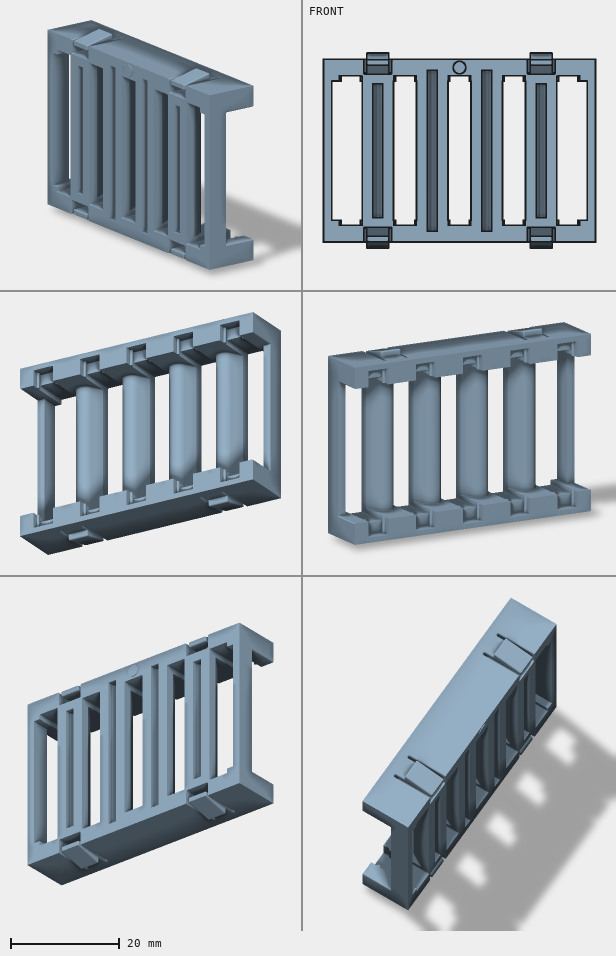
import cadquery as cq
import math

LENGTH = 50.0
DEPTH = 10.0
HEIGHT = 33.6
FLANGE_THICKNESS = 4.05
POST_WIDTH = 1.55
POST_DEPTH = 3.75
EDGE_RADIUS = 0.2

PITCH = 10.0
CHANNEL_WIDTH = 4.2
CHANNEL_RECESS = 0.95
CHANNEL_RADIUS = 0.2
RIB_DEPTH = 4.95
RIB_STRAIGHT = 1.75
RIB_ROOT_RADIUS = 0.2
FLANK_ANGLE = math.radians(30)

GROOVE_WIDTH = 1.8
GROOVE_STRAIGHT = 1.1
GROOVE_DEPTH = 2.4
GROOVE_END_RADIUS = 0.2
INNER_GROOVE_LENGTH = 29.6
OUTER_GROOVE_LENGTH = 24.6

MOUTH_START_Y = 7.5
MOUTH_ROOF = 1.0
BUMP_RADIUS = 0.35
BUMP_Y = 8.4

TONGUE_WIDTH = 4.1
TONGUE_THICKNESS = 1.1
TONGUE_FRONT_DROP = 0.1
CATCH_HEIGHT = 1.2
CATCH_TOP_Y = 5.95
CATCH_FOOT_Y = 6.05
SLOT_WIDTH = 0.5
SLOT_END_Y = 8.0
POCKET_HEIGHT = 2.75
CLIP_RADIUS = 0.25

PAD_RADIUS = 1.15
PAD_HEIGHT = 0.15
PAD_Z = 15.25

MARGIN = 0.05

half_length = LENGTH / 2
half_height = HEIGHT / 2
bay_half_height = half_height - FLANGE_THICKNESS
channel_half_height = bay_half_height + CHANNEL_RECESS
mouth_half_height = half_height - MOUTH_ROOF
tongue_bottom = half_height - TONGUE_THICKNESS
rib_width = PITCH - CHANNEL_WIDTH
inner_rib_x = PITCH / 2
outer_rib_x = 1.5 * PITCH
rib_positions = [-outer_rib_x, -inner_rib_x, inner_rib_x, outer_rib_x]
channel_positions = [step * PITCH for step in range(-2, 3)]


def box(x_range, y_range, z_range):
    """Axis-aligned box from its limits along X, Y and Z."""
    sizes = [high - low for low, high in (x_range, y_range, z_range)]
    corner = (x_range[0], y_range[0], z_range[0])
    return cq.Workplane("XY").box(*sizes, centered=False).translate(corner)


def tapered_bar(width, straight, tip_y, length):
    """Bar rising from z = 0: parallel sides from y = 0, then flanks tangent to a round tip."""
    half_width = width / 2
    sharp_y = straight + half_width / math.tan(FLANK_ANGLE)
    tip_radius = (sharp_y - tip_y) / (1 / math.sin(FLANK_ANGLE) - 1)
    tangent_x = tip_radius * math.cos(FLANK_ANGLE)
    tangent_y = tip_y - tip_radius * (1 - math.sin(FLANK_ANGLE))
    return (
        cq.Workplane("XY")
        .moveTo(-half_width, 0)
        .lineTo(half_width, 0)
        .lineTo(half_width, straight)
        .lineTo(tangent_x, tangent_y)
        .threePointArc((0, tip_y), (-tangent_x, tangent_y))
        .lineTo(-half_width, straight)
        .close()
        .extrude(length)
    )


def upper_frame():
    """Upper half of the part: a flange on the end posts and the ribs."""
    body = box((-half_length, half_length), (0, DEPTH), (bay_half_height, half_height))
    for post_x in (-half_length, half_length - POST_WIDTH):
        body = body.union(box((post_x, post_x + POST_WIDTH), (0, POST_DEPTH), (0, bay_half_height)))
    rib = tapered_bar(rib_width, RIB_STRAIGHT, RIB_DEPTH, bay_half_height)
    for x in rib_positions:
        body = body.union(rib.translate((x, 0, 0)))
    return body


def edges_between(body, low, high):
    """Edges of the body whose centres lie inside a box."""
    return body.edges(cq.selectors.BoxSelector(low, high))


def round_inner_edges(body):
    """Round the end edges of the flange and the roots of the ribs."""
    low_z = bay_half_height - MARGIN
    high_z = bay_half_height + MARGIN
    for x in (-half_length, half_length):
        low = (x - MARGIN, POST_DEPTH, low_z)
        high = (x + MARGIN, DEPTH, high_z)
        body = edges_between(body, low, high).edges("|Y").fillet(EDGE_RADIUS)
    for x in rib_positions:
        low = (x - rib_width / 2 + MARGIN, RIB_STRAIGHT, low_z)
        high = (x + rib_width / 2 - MARGIN, RIB_DEPTH + MARGIN, high_z)
        body = edges_between(body, low, high).fillet(RIB_ROOT_RADIUS)
    return body


def channel(x):
    """Cutter for the opening between two ribs: recessed into the flange, deeper at the rear."""
    half_width = CHANNEL_WIDTH / 2
    x_range = (x - half_width, x + half_width)
    recess = box(x_range, (0, DEPTH), (0, channel_half_height))
    recess = recess.edges("|Y and >Z").fillet(CHANNEL_RADIUS)
    mouth = box(x_range, (MOUTH_START_Y, DEPTH), (0, mouth_half_height))
    bumps = (
        cq.Workplane("XY", origin=(x, BUMP_Y, 0))
        .pushPoints([(-half_width, 0), (half_width, 0)])
        .circle(BUMP_RADIUS)
        .extrude(mouth_half_height)
    )
    return recess.union(mouth).cut(bumps)


def groove(x, length):
    """Cutter for the V groove in the front of one rib."""
    cutter = tapered_bar(GROOVE_WIDTH, GROOVE_STRAIGHT, GROOVE_DEPTH, length / 2)
    end_edges = cutter.faces(">Z").edges(cq.selectors.BoxSelector(
        (-GROOVE_WIDTH, GROOVE_STRAIGHT, 0), (GROOVE_WIDTH, DEPTH, length)
    ))
    return end_edges.fillet(GROOVE_END_RADIUS).translate((x, 0, 0))


def clip_pocket(x):
    """Cutter for the pocket around a tongue, with two round-ended slots beside it."""
    floor_z = half_height - POCKET_HEIGHT
    half_width = TONGUE_WIDTH / 2 + SLOT_WIDTH
    slot_centre_x = half_width - SLOT_WIDTH / 2
    slot_centre_y = SLOT_END_Y - SLOT_WIDTH / 2
    pocket = box((-half_width, half_width), (0, slot_centre_y), (floor_z, half_height))
    pocket = pocket.edges("|Y and <Z").fillet(CLIP_RADIUS)
    slot_ends = (
        cq.Workplane("XY", origin=(0, slot_centre_y, floor_z + CLIP_RADIUS))
        .pushPoints([(-slot_centre_x, 0), (slot_centre_x, 0)])
        .circle(SLOT_WIDTH / 2)
        .extrude(POCKET_HEIGHT - CLIP_RADIUS)
    )
    return pocket.union(slot_ends).translate((x, 0, 0))


def clip_plate(x):
    """Rear stretch of a tongue, from under the catch back into the flange."""
    plate = box(
        (x - TONGUE_WIDTH / 2, x + TONGUE_WIDTH / 2),
        (CATCH_TOP_Y / 2, SLOT_END_Y),
        (tongue_bottom, half_height),
    )
    return plate.edges("|Y and <Z").fillet(CLIP_RADIUS)


def clip_catch(x):
    """Front stretch of a tongue: a ramp that rises to a step, rounded except on its upper front edge."""
    catch = (
        cq.Workplane("YZ")
        .moveTo(0, tongue_bottom)
        .lineTo(CATCH_FOOT_Y, tongue_bottom)
        .lineTo(CATCH_FOOT_Y, half_height)
        .lineTo(CATCH_TOP_Y, half_height + CATCH_HEIGHT)
        .lineTo(0, half_height - TONGUE_FRONT_DROP)
        .close()
        .extrude(TONGUE_WIDTH / 2, both=True)
    )
    front_top = cq.selectors.NearestToPointSelector((0, 0, half_height - TONGUE_FRONT_DROP))
    foot = cq.selectors.NearestToPointSelector((0, CATCH_FOOT_Y, half_height))
    back_bottom = cq.selectors.NearestToPointSelector((0, CATCH_FOOT_Y, tongue_bottom))
    every_edge = cq.selectors.BoxSelector((-DEPTH, -DEPTH, 0), (DEPTH, DEPTH, HEIGHT))
    catch = catch.edges(every_edge - front_top - foot - back_bottom).fillet(CLIP_RADIUS)
    return catch.translate((x, 0, 0))


def add_clip(body, x):
    """Cut a pocket, round its rim and set the tongue in it."""
    body = body.cut(clip_pocket(x)).union(clip_plate(x))
    half_width = TONGUE_WIDTH / 2 + SLOT_WIDTH
    low = (x - half_width - MARGIN, MARGIN, half_height - MARGIN)
    high = (x + half_width + MARGIN, SLOT_END_Y + MARGIN, half_height + MARGIN)
    rim = edges_between(body, low, high).edges("not(<Y and |X)")
    return rim.fillet(CLIP_RADIUS).union(clip_catch(x))


upper = round_inner_edges(upper_frame())
for x in channel_positions:
    upper = upper.cut(channel(x))
for x in rib_positions:
    is_inner = abs(x) == inner_rib_x
    upper = upper.cut(groove(x, INNER_GROOVE_LENGTH if is_inner else OUTER_GROOVE_LENGTH))
for x in (-outer_rib_x, outer_rib_x):
    upper = add_clip(upper, x)

pad = cq.Workplane("XZ", origin=(0, 0, PAD_Z)).circle(PAD_RADIUS).extrude(PAD_HEIGHT)
result = upper.union(upper.mirror("XY")).union(pad)